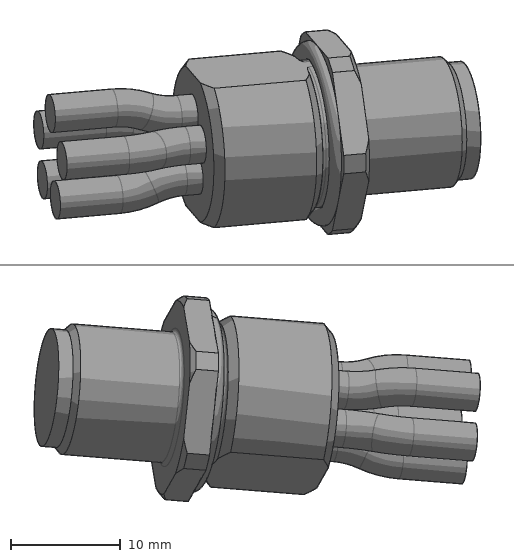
import cadquery as cq
import math

LENGTH = 39.3

RIM_DIAMETER = 10.8
RIM_LENGTH = 1.35
BARREL_DIAMETER = 12.0
BARREL_SHOULDER = (BARREL_DIAMETER - RIM_DIAMETER) / 2
BARREL_FILLET = 0.35

HEX_ACROSS_FLATS = 17.0
HEX_CORNER_DIAMETER = 18.7
HEX_CHAMFER = 0.47
HEX_FRONT_Y = 25.25
HEX_THICKNESS = 2.55
HEX_BACK_Y = HEX_FRONT_Y + HEX_THICKNESS

NUT_DIAMETER = 16.0
NUT_ACROSS_FLATS = 13.45
NUT_CHAMFER = 0.83
NUT_FRONT_Y = 13.5
NUT_BACK_Y = 23.85
NECK_DIAMETER = 13.5
NECK_FILLET = NUT_DIAMETER / 2 - NUT_CHAMFER - NECK_DIAMETER / 2

SEAL_OUTER_DIAMETER = HEX_ACROSS_FLATS
SEAL_SECTION_DIAMETER = (SEAL_OUTER_DIAMETER - NECK_DIAMETER) / 2

WIRE_DIAMETER = 3.5
WIRE_PITCH_RADIUS = 3.0
WIRE_TAIL_LENGTH = 5.95
WIRE_BEND_LENGTH = 6.1
WIRE_OFFSET = 1.18
WIRE_EMBED = 0.4
FIRST_WIRE_ANGLE = 18.0
WIRE_BEND_ANGLES = (0.0, 90.0, 162.0, 216.0, 270.0)


def add_fillet(profile, radius, wall_y, fillet):
    """Step from a wall onto a cylinder on its +Y side with a concave quarter arc."""
    inset = fillet * (1 - math.sqrt(0.5))
    profile = profile.lineTo(radius + fillet, wall_y)
    return profile.threePointArc((radius + inset, wall_y + inset), (radius, wall_y + fillet))


def turned_body():
    """Barrel, neck and round nut as one revolved profile drawn in radius and Y."""
    nut_radius = NUT_DIAMETER / 2
    barrel_radius = BARREL_DIAMETER / 2
    rim_y = LENGTH - RIM_LENGTH
    profile = (
        cq.Workplane("XY")
        .moveTo(0, NUT_FRONT_Y)
        .lineTo(nut_radius - NUT_CHAMFER, NUT_FRONT_Y)
        .lineTo(nut_radius, NUT_FRONT_Y + NUT_CHAMFER)
        .lineTo(nut_radius, NUT_BACK_Y - NUT_CHAMFER)
    )
    profile = add_fillet(profile, NECK_DIAMETER / 2, NUT_BACK_Y, NECK_FILLET)
    profile = profile.lineTo(NECK_DIAMETER / 2, HEX_BACK_Y)
    profile = add_fillet(profile, barrel_radius, HEX_BACK_Y, BARREL_FILLET)
    profile = (
        profile.lineTo(barrel_radius, rim_y - BARREL_SHOULDER)
        .lineTo(RIM_DIAMETER / 2, rim_y)
        .lineTo(RIM_DIAMETER / 2, LENGTH)
        .lineTo(0, LENGTH)
        .close()
    )
    return profile.revolve(360, (0, 0, 0), (0, 1, 0))


def cut_nut_flats(body):
    """Mill the two parallel flats that face +Z and -Z."""
    length = HEX_FRONT_Y - NUT_FRONT_Y
    depth = (NUT_DIAMETER - NUT_ACROSS_FLATS) / 2
    for side in (1, -1):
        centre = (0, NUT_FRONT_Y + length / 2, side * (NUT_ACROSS_FLATS + depth) / 2)
        body = body.cut(cq.Workplane("XY").box(NUT_DIAMETER, length, depth).translate(centre))
    return body


def hex_flange():
    """Hexagon with flats on +Z and -Z, its corners turned round and chamfered on the +Y side."""
    corner_to_corner = HEX_ACROSS_FLATS / math.cos(math.radians(30))
    front = cq.Workplane("XZ", origin=(0, HEX_FRONT_Y, 0))
    hexagon = front.polygon(6, corner_to_corner).extrude(-HEX_THICKNESS)
    blank = front.circle(HEX_CORNER_DIAMETER / 2).extrude(-HEX_THICKNESS)
    return hexagon.intersect(blank.faces(">Y").chamfer(HEX_CHAMFER))


def sealing_ring():
    """Torus centred on the front face of the flange."""
    section_radius = SEAL_SECTION_DIAMETER / 2
    centre_radius = SEAL_OUTER_DIAMETER / 2 - section_radius
    section = cq.Workplane("XY").center(centre_radius, HEX_FRONT_Y).circle(section_radius)
    return section.revolve(360, (-centre_radius, 0, 0), (-centre_radius, 1, 0))


def wire(root_angle, bend_angle):
    """Wire swept along a path that lies in the plane of its bend."""
    root = math.radians(root_angle)
    bend = math.radians(bend_angle)
    origin = (WIRE_PITCH_RADIUS * math.cos(root), 0, WIRE_PITCH_RADIUS * math.sin(root))
    outward = (math.cos(bend), 0, math.sin(bend))
    normal = (-math.sin(bend), 0, math.cos(bend))
    bend_plane = cq.Plane(origin=origin, xDir=outward, normal=normal)
    bend_end = WIRE_TAIL_LENGTH + WIRE_BEND_LENGTH
    bend_middle = WIRE_TAIL_LENGTH + WIRE_BEND_LENGTH / 2
    path = (
        cq.Workplane(bend_plane)
        .moveTo(WIRE_OFFSET, 0)
        .lineTo(WIRE_OFFSET, WIRE_TAIL_LENGTH)
        .tangentArcPoint((WIRE_OFFSET / 2, bend_middle), relative=False)
        .tangentArcPoint((0, bend_end), relative=False)
        .lineTo(0, NUT_FRONT_Y + WIRE_EMBED)
    )
    tip = (origin[0] + WIRE_OFFSET * outward[0], 0, origin[2] + WIRE_OFFSET * outward[2])
    return cq.Workplane("XZ", origin=tip).circle(WIRE_DIAMETER / 2).sweep(path)


result = cut_nut_flats(turned_body()).union(hex_flange()).union(sealing_ring())
for index, bend_angle in enumerate(WIRE_BEND_ANGLES):
    root_angle = FIRST_WIRE_ANGLE + index * 360 / len(WIRE_BEND_ANGLES)
    result = result.union(wire(root_angle, bend_angle))